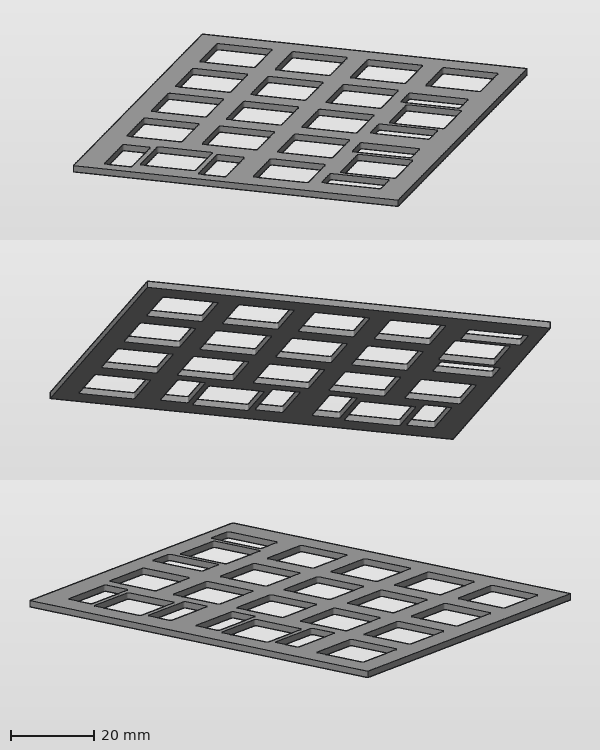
import cadquery as cq

plate_width = 82.2
plate_length = 101.2
plate_thickness = 1.6

column_count = 4
row_count = 5
grid_length = 95.3
key_pitch = grid_length / row_count

switch_size = 14.0
stabilizer_length = 15.0
stabilizer_width = 7.0
stabilizer_spacing = 23.8
stabilizer_offset = 1.5
corner_radius = 0.5

single_columns = column_count - 1
single_keys = [(column, row) for column in range(single_columns) for row in range(1, row_count)]
single_keys += [(2, 0), (3, 4)]
tall_keys = [(3, 0.5), (3, 2.5)]
wide_keys = [(0.5, 0)]


def key_centre(column, row):
    """Centre of a key from its grid position."""
    x = (column - (column_count - 1) / 2) * key_pitch
    y = (row - (row_count - 1) / 2) * key_pitch
    return x, y


def cutter(size_x, size_y, centres):
    """Rounded rectangular prisms through the plate at the given centres."""
    return (
        cq.Workplane("XY")
        .pushPoints(centres)
        .rect(size_x, size_y)
        .extrude(plate_thickness)
        .edges("|Z")
        .fillet(corner_radius)
    )


switch_centres = [key_centre(*key) for key in single_keys + tall_keys + wide_keys]

tall_slot_centres = []
for key in tall_keys:
    x, y = key_centre(*key)
    for side in (-1, 1):
        tall_slot_centres.append((x - stabilizer_offset, y + side * stabilizer_spacing / 2))

wide_slot_centres = []
for key in wide_keys:
    x, y = key_centre(*key)
    for side in (-1, 1):
        wide_slot_centres.append((x + side * stabilizer_spacing / 2, y - stabilizer_offset))

plate = cq.Workplane("XY").box(
    plate_width, plate_length, plate_thickness, centered=(True, True, False)
)

result = (
    plate
    .cut(cutter(switch_size, switch_size, switch_centres))
    .cut(cutter(stabilizer_length, stabilizer_width, tall_slot_centres))
    .cut(cutter(stabilizer_width, stabilizer_length, wide_slot_centres))
)